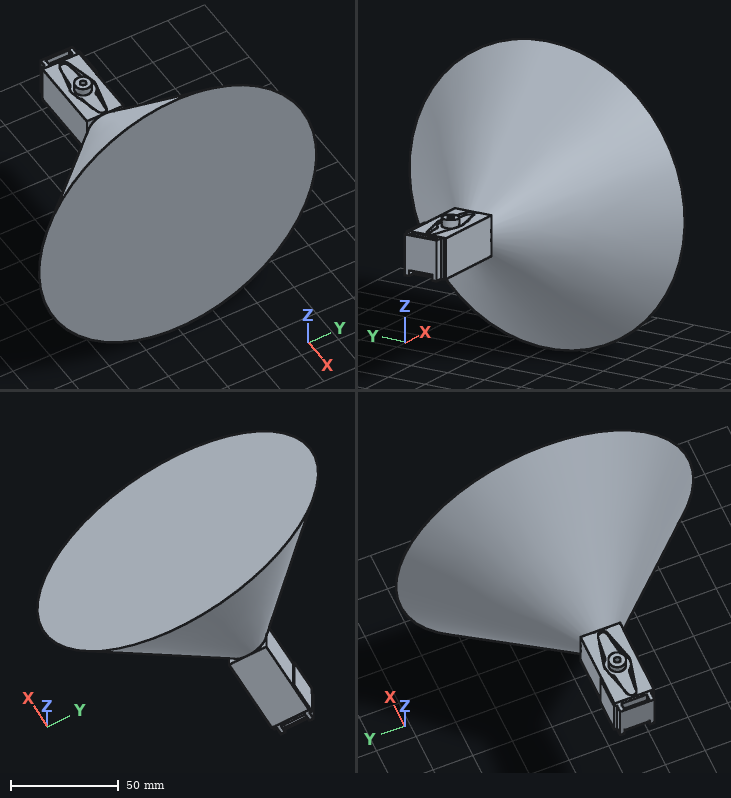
import cadquery as cq
import math

OVERALL_LENGTH = 110.2
CONE_DIAMETER = 150.0
BLOCK_SIDE = 20.0
BLOCK_LENGTH = 39.9
BLOCK_HALF = BLOCK_SIDE / 2

BRACKET_DEPTH = 5.2
PLATE_THICKNESS = 1.4
PLATE_RIGHT = -9.3
ARM_THICKNESS = 0.8
ARM_LENGTH = 14.8
PLATE_LEFT = BLOCK_HALF + ARM_THICKNESS
LOOP_INSET = 1.4
LOOP_SIDE_WIDTH = 2.2
LOOP_WALL = 0.9
NOTCH_HEIGHT = 2.7
LOOP_CENTER_Y = (PLATE_LEFT + PLATE_RIGHT) / 2
LOOP_WIDTH = PLATE_LEFT - PLATE_RIGHT - 2 * LOOP_INSET
SLOT_WIDTH = LOOP_WIDTH - 2 * LOOP_SIDE_WIDTH

HORN_X = BLOCK_LENGTH / 2
HORN_THICKNESS = 1.5
HORN_RECESS = 1.2
HUB_RADIUS = 6.3
TIP_RADIUS = 2.4
HORN_REACH = 19.0
ARM_ROOT_HALF_WIDTH = 4.4
BOSS_DIAMETER = 8.2
BOSS_HEIGHT = 4.0
SCREW_HOLE_DIAMETER = 3.0
TIP_CENTER = HORN_REACH - TIP_RADIUS
HORN_FLOOR = BLOCK_HALF - HORN_RECESS - HORN_THICKNESS


def box_between(x_range, y_range, z_range):
    """Axis-aligned box spanning the given coordinate ranges."""
    (x0, x1), (y0, y1), (z0, z1) = x_range, y_range, z_range
    return cq.Workplane("XY").box(x1 - x0, y1 - y0, z1 - z0, centered=False).translate((x0, y0, z0))


def horn_layer():
    """Workplane on the pocket floor, centred on the horn axis."""
    return cq.Workplane("XY", origin=(HORN_X, 0, HORN_FLOOR))


def tapered_lever(root_radius, height):
    """Rounded-end lever whose straight sides are tangent to a root circle and both tip circles."""
    sine = (root_radius - TIP_RADIUS) / TIP_CENTER
    cosine = math.sqrt(1 - sine**2)
    root_x = root_radius * sine
    root_y = root_radius * cosine
    tip_x = TIP_CENTER + TIP_RADIUS * sine
    tip_y = TIP_RADIUS * cosine
    return (
        horn_layer()
        .moveTo(root_x, root_y)
        .lineTo(tip_x, tip_y)
        .threePointArc((HORN_REACH, 0), (tip_x, -tip_y))
        .lineTo(root_x, -root_y)
        .threePointArc((0, -root_radius), (-root_x, -root_y))
        .lineTo(-tip_x, -tip_y)
        .threePointArc((-HORN_REACH, 0), (-tip_x, tip_y))
        .lineTo(-root_x, root_y)
        .threePointArc((0, root_radius), (root_x, root_y))
        .close()
        .extrude(height)
    )


def make_housing():
    """Block and cone in one piece, with the horn pocket cut into the block's top."""
    span = (-BLOCK_HALF, BLOCK_HALF)
    block = box_between((0, BLOCK_LENGTH), span, span)
    cone_length = OVERALL_LENGTH - BRACKET_DEPTH - BLOCK_LENGTH
    cone = cq.Workplane(
        cq.Solid.makeCone(
            BLOCK_HALF, CONE_DIAMETER / 2, cone_length, cq.Vector(BLOCK_LENGTH, 0, 0), cq.Vector(1, 0, 0)
        )
    )
    return block.union(cone).cut(tapered_lever(HUB_RADIUS, HORN_RECESS + HORN_THICKNESS))


def make_bracket():
    """L-shaped plate around the back corner of the block, with a slotted strap loop behind it."""
    height = (-BLOCK_HALF, BLOCK_HALF)
    plate = box_between((-PLATE_THICKNESS, 0), (PLATE_RIGHT, PLATE_LEFT), height)
    arm = box_between((0, ARM_LENGTH), (BLOCK_HALF, PLATE_LEFT), height)
    loop = box_between(
        (-BRACKET_DEPTH, -PLATE_THICKNESS), (PLATE_RIGHT + LOOP_INSET, PLATE_LEFT - LOOP_INSET), height
    )

    slot_y = (LOOP_CENTER_Y - SLOT_WIDTH / 2, LOOP_CENTER_Y + SLOT_WIDTH / 2)
    slot = box_between((-BRACKET_DEPTH + LOOP_WALL, -PLATE_THICKNESS), slot_y, height)
    notch = box_between(
        (-BRACKET_DEPTH, -PLATE_THICKNESS), slot_y, (-BLOCK_HALF, -BLOCK_HALF + NOTCH_HEIGHT)
    )
    return plate.union(arm).union(loop.cut(slot).cut(notch))


def make_horn():
    """Round hub with two tapered arms, a raised boss and a central screw hole."""
    hub = horn_layer().circle(HUB_RADIUS).extrude(HORN_THICKNESS)
    boss = horn_layer().circle(BOSS_DIAMETER / 2).extrude(HORN_THICKNESS + BOSS_HEIGHT)
    hole = horn_layer().circle(SCREW_HOLE_DIAMETER / 2).extrude(HORN_THICKNESS + BOSS_HEIGHT)
    return tapered_lever(ARM_ROOT_HALF_WIDTH, HORN_THICKNESS).union(hub).union(boss).cut(hole)


housing = make_housing()
bracket = make_bracket()
horn = make_horn()

result = cq.Compound.makeCompound([housing.val(), bracket.val(), horn.val()])